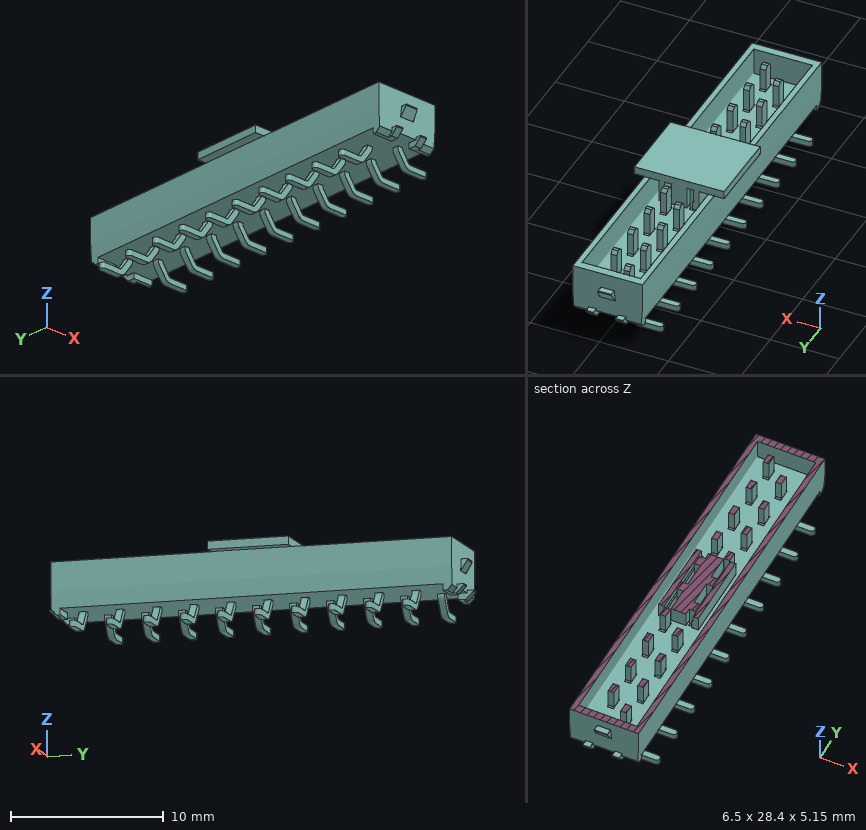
import cadquery as cq
import math

overall_length = 28.43
overall_width = 6.5
overall_height = 5.15

housing_length = 27.52
housing_width = 5.05
housing_base_width = 4.85
cap_thickness = 0.57
housing_top = overall_height - cap_thickness
draft_start = 2.62
housing_bottom = 1.45
foot_bottom = 1.02
foot_length = 0.63
foot_inner_x = 0.8
foot_chamfer = 0.35

cavity_length = 26.33
cavity_width = 4.25
cavity_floor = draft_start
cavity_fillet = 0.1

latch_base_width = 1.15
latch_top_width = 0.97
latch_top = 3.47
latch_bottom = 2.67
latch_lip = 0.09
peg_width = 0.55
peg_top = 1.62
peg_lip = 0.09

contact_count = 20
contact_span = 24.15
contact_pitch = contact_span / (contact_count - 1)
contact_thickness = 0.43
contact_row_gap = 1.1
contact_inner_x = contact_row_gap / 2
contact_outer_x = contact_inner_x + contact_thickness
blade_width = 0.75
blade_tip_width = 0.25
blade_shoulder = 4.3
blade_tip = 4.52
flare_width = 0.95
flare_height = 0.09
lead_width = 0.48
bend_angle = math.radians(35)
bend_inner_radius = 0.17
bend_outer_radius = bend_inner_radius + contact_thickness
bend_start = 1.36

cap_length = 5.55
cap_leg_bottom = 2.99
cap_pillar_width = contact_row_gap
cap_leg_inner_x = 1.05
cap_leg_outer_x = 1.45
barb_top = 3.65
barb_depth = 0.09


def box(x_range, y_range, z_range):
    """Box between the given pairs of limits."""
    size = [high - low for low, high in (x_range, y_range, z_range)]
    corner = (x_range[0], y_range[0], z_range[0])
    return cq.Workplane("XY").box(*size, centered=False).translate(corner)


def extrude_along_x(points, x_start, width):
    """Extrude a closed (y, z) outline towards +X."""
    return cq.Workplane("YZ").workplane(offset=x_start).polyline(points).close().extrude(width)


def both_ends(feature):
    """The feature together with its mirror image at the other end of the length."""
    return feature.union(feature.mirror("XZ"))


def both_sides(feature):
    """The feature together with its mirror image across the width."""
    return feature.union(feature.mirror("YZ"))


def make_housing():
    """Drafted tray with chamfered feet at its four corners."""
    top_x = housing_width / 2
    base_x = housing_base_width / 2
    end_y = housing_length / 2
    section = [
        (-base_x, foot_bottom), (base_x, foot_bottom), (top_x, draft_start),
        (top_x, housing_top), (-top_x, housing_top), (-top_x, draft_start),
    ]
    body = cq.Workplane("XZ").polyline(section).close().extrude(end_y, both=True)
    body = body.faces("<Z").edges("|X").chamfer(foot_chamfer)

    below = (foot_bottom, housing_bottom)
    between_ends = box((-top_x, top_x), (foot_length - end_y, end_y - foot_length), below)
    between_feet = box((-foot_inner_x, foot_inner_x), (-end_y, end_y), below)
    cavity_depth = housing_top - cavity_floor
    cavity = (
        cq.Workplane("XY").workplane(offset=cavity_floor)
        .rect(cavity_width, cavity_length).extrude(cavity_depth)
        .faces("<Z").edges("|Y").fillet(cavity_fillet)
    )
    return body.cut(between_ends).cut(between_feet).cut(cavity)


def make_latch():
    """Wedge on the +Y end wall, flat on top, sloping back to the wall below, with drafted sides."""
    root_y = housing_length / 2
    tip_y = overall_length / 2
    outline = [
        (root_y, latch_bottom), (tip_y, latch_top - latch_lip),
        (tip_y, latch_top), (root_y, latch_top),
    ]
    wedge = extrude_along_x(outline, -latch_base_width / 2, latch_base_width)
    drafted_face = [
        (-latch_base_width / 2, latch_bottom), (latch_base_width / 2, latch_bottom),
        (latch_top_width / 2, latch_top), (-latch_top_width / 2, latch_top),
    ]
    side_limits = cq.Workplane("XZ").polyline(drafted_face).close().extrude(-tip_y)
    return wedge.intersect(side_limits)


def make_peg():
    """Locating peg against the inner side of the +X foot, with a 45 degree underside."""
    root_y = housing_length / 2 - foot_length
    tip_y = overall_length / 2
    slope_top = peg_top - peg_lip
    outline = [
        (root_y, foot_bottom), (tip_y - (slope_top - foot_bottom), foot_bottom),
        (tip_y, slope_top), (tip_y, peg_top), (root_y, peg_top),
    ]
    return extrude_along_x(outline, foot_inner_x, peg_width)


def make_blade():
    """Upright contact blade of the +X row, with a tapered tip and a flared root."""
    flare_top = cavity_floor + flare_height
    half_outline = [
        (flare_width / 2, housing_bottom), (flare_width / 2, cavity_floor),
        (blade_width / 2, flare_top), (blade_width / 2, blade_shoulder),
        (blade_tip_width / 2, blade_tip),
    ]
    mirrored = [(-y, z) for y, z in reversed(half_outline)]
    return extrude_along_x(half_outline + mirrored, contact_inner_x, contact_thickness)


def bend_point(centre, radius, angle):
    """Point on a bend that starts vertical (angle 0) and turns towards horizontal."""
    return (centre[0] - radius * math.cos(angle), centre[1] - radius * math.sin(angle))


def make_lead():
    """Gull-wing lead of the +X row: down, outwards at a slope, then flat to a round tip."""
    upper = (contact_outer_x + bend_inner_radius, bend_start)
    lower_z = bend_outer_radius
    lower = (upper[0] + (bend_start - lower_z) * math.tan(bend_angle), lower_z)
    quarter = math.pi / 2
    upper_mid = bend_angle / 2
    lower_mid = (bend_angle + quarter) / 2
    outer = bend_outer_radius
    inner = bend_inner_radius
    tip_radius = lead_width / 2
    tip_centre_x = overall_width / 2 - tip_radius
    lead = (
        cq.Workplane("XZ")
        .moveTo(contact_inner_x, housing_bottom)
        .lineTo(*bend_point(upper, outer, 0))
        .threePointArc(bend_point(upper, outer, upper_mid), bend_point(upper, outer, bend_angle))
        .lineTo(*bend_point(lower, outer, bend_angle))
        .threePointArc(bend_point(lower, outer, lower_mid), bend_point(lower, outer, quarter))
        .lineTo(tip_centre_x, 0)
        .lineTo(tip_centre_x, contact_thickness)
        .lineTo(*bend_point(lower, inner, quarter))
        .threePointArc(bend_point(lower, inner, lower_mid), bend_point(lower, inner, bend_angle))
        .lineTo(*bend_point(upper, inner, bend_angle))
        .threePointArc(bend_point(upper, inner, upper_mid), bend_point(upper, inner, 0))
        .lineTo(contact_outer_x, housing_bottom)
        .close()
        .extrude(lead_width / 2, both=True)
    )
    tip = cq.Workplane("XY").center(tip_centre_x, 0).circle(tip_radius).extrude(contact_thickness)
    return lead.union(tip)


def make_contacts():
    """All contacts, alternating between the +X row and the -X row from the -Y end."""
    right_contact = make_blade().union(make_lead())
    left_contact = right_contact.mirror("YZ")
    contacts = []
    for index in range(contact_count):
        contact = right_contact if index % 2 == 0 else left_contact
        y = index * contact_pitch - contact_span / 2
        contacts.append(contact.translate((0, y, 0)))
    return contacts


def make_cap():
    """Pick-up plate with a middle pillar and two barbed legs that grip the contacts."""
    half_length = cap_length / 2
    y_range = (-half_length, half_length)
    half_width = overall_width / 2
    half_pillar = cap_pillar_width / 2
    plate = box((-half_width, half_width), y_range, (housing_top, overall_height))
    pillar = box((-half_pillar, half_pillar), y_range, (cap_leg_bottom, housing_top))
    leg_outline = [
        (cap_leg_outer_x, housing_top), (cap_leg_outer_x, cap_leg_bottom),
        (cap_leg_inner_x - barb_depth, cap_leg_bottom),
        (cap_leg_inner_x - barb_depth, barb_top - barb_depth),
        (cap_leg_inner_x, barb_top), (cap_leg_inner_x, housing_top),
    ]
    leg = cq.Workplane("XZ").polyline(leg_outline).close().extrude(half_length, both=True)
    return plate.union(pillar).union(both_sides(leg))


result = make_housing()
result = result.union(both_ends(make_latch()))
result = result.union(both_ends(both_sides(make_peg())))
for contact in make_contacts():
    result = result.union(contact)
result = result.union(make_cap())